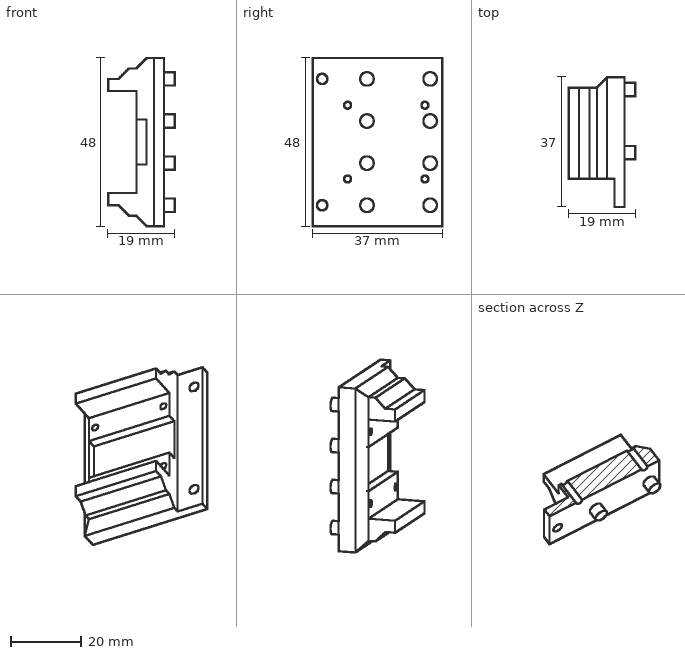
import cadquery as cq

height = 48.0
width = 37.0
total_depth = 19.0
pin_length = 3.0
back_x = total_depth - pin_length

flange_width = 8.0
flange_thickness = 3.0
flange_hole_diameter = 2.9
flange_hole_edge = 2.75
flange_hole_spacing = 36.0

slope = 3.0
rail_tip_depth = 3.0
rail_step_start = rail_tip_depth + slope
channel_floor_x = 8.0
chamfer_end_x = channel_floor_x + slope
channel_height = 29.0

pocket_height = 12.9
pocket_floor_x = chamfer_end_x

screw_hole_diameter = 1.9
screw_hole_spacing_y = 22.05
screw_hole_spacing_z = 21.0
screw_hole_edge = 5.0

pin_diameter = 3.9
pin_pitch_z = 12.0
pin_count_z = 4
pin_spacing_y = 18.0
pin_edge = 3.5

rail_end_y = width - slope


def box(x0, x1, y0, y1, z_height):
    """Box between the given X and Y limits, centred on Z = 0."""
    return (
        cq.Workplane("XY")
        .box(x1 - x0, y1 - y0, z_height, centered=(False, False, True))
        .translate((x0, y0, 0))
    )


def rods_along_x(points, diameter, x_start, x_end):
    """Cylinders along X, centred on the given (Y, Z) points."""
    return (
        cq.Workplane("YZ", origin=(x_start, 0, 0))
        .pushPoints(points)
        .circle(diameter / 2)
        .extrude(x_end - x_start)
    )


def make_body():
    """Stepped profile with its channel, including the full-width back block."""
    top = height / 2
    upper_half = [
        (0, channel_height / 2),
        (0, top - 2 * slope),
        (rail_tip_depth, top - 2 * slope),
        (rail_step_start, top - slope),
        (channel_floor_x, top - slope),
        (chamfer_end_x, top),
        (back_x, top),
    ]
    lower_half = [(x, -z) for x, z in reversed(upper_half)]
    channel_floor = [
        (channel_floor_x, -channel_height / 2),
        (channel_floor_x, channel_height / 2),
    ]
    body = (
        cq.Workplane("XZ", origin=(0, width, 0))
        .polyline(upper_half + lower_half + channel_floor)
        .close()
        .extrude(width - flange_width)
    )
    side_waste = (
        cq.Workplane("XY", origin=(0, 0, -height / 2))
        .polyline([
            (0, rail_end_y),
            (channel_floor_x, rail_end_y),
            (chamfer_end_x, width),
            (0, width),
        ])
        .close()
        .extrude(height)
    )
    return body.cut(side_waste)


flange = box(back_x - flange_thickness, back_x, 0, flange_width, height)
pocket = box(0, pocket_floor_x, flange_width, rail_end_y, pocket_height)

flange_holes = rods_along_x(
    [(flange_hole_edge, side * flange_hole_spacing / 2) for side in (-1, 1)],
    flange_hole_diameter, 0, back_x,
)

screw_y = width - screw_hole_edge
screw_holes = rods_along_x(
    [
        (y, side * screw_hole_spacing_z / 2)
        for y in (screw_y - screw_hole_spacing_y, screw_y)
        for side in (-1, 1)
    ],
    screw_hole_diameter, 0, back_x,
)

pin_y = width - pin_edge
pins = rods_along_x(
    [
        (y, (row - (pin_count_z - 1) / 2) * pin_pitch_z)
        for y in (pin_y - pin_spacing_y, pin_y)
        for row in range(pin_count_z)
    ],
    pin_diameter, back_x, total_depth,
)

result = (
    make_body()
    .union(flange)
    .cut(pocket)
    .cut(flange_holes)
    .cut(screw_holes)
    .union(pins)
)